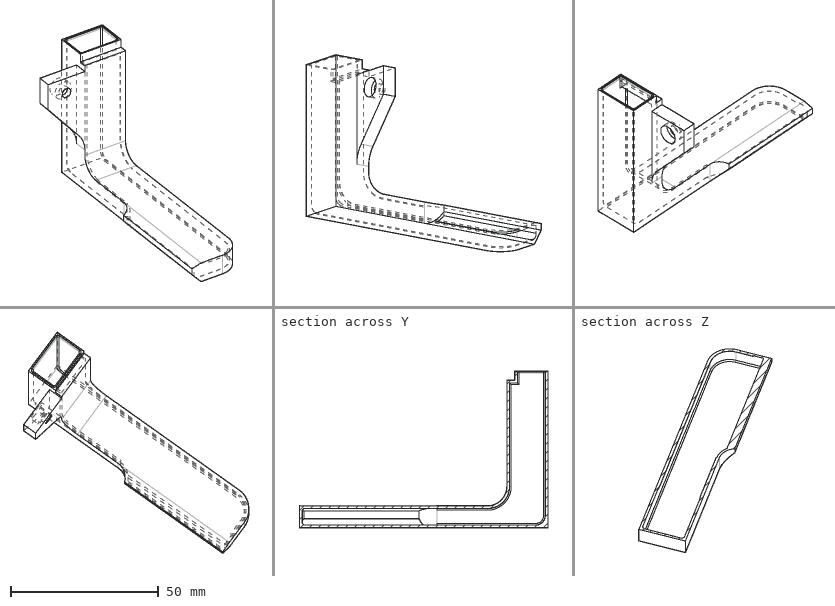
import cadquery as cq
import math

length = 84.0
height = 53.0
depth = 16.6
wall = 1.0

post_width = 13.95
neck_width = 11.25
neck_base = 49.9
arm_height = 7.5
inner_bend = 6.55
arm_corner = 8.0

lip_start = 37.55
lip_depth = 3.8
lip_bottom = 4.1
lip_top = 6.5
lip_blend = 5.7

outer_bend = 3.0
cavity_chamfer = 0.5
mouth_round = 0.3
rim_width = 0.5
rim_step = 0.25

tab_thickness = 5.0
tab_reach = 14.95
tab_top = 47.5
tab_edge_bottom = 37.5
tab_root = 19.8
tab_blend = 10.0
hole_height = 41.5
hole_diameter = 3.45
counterbore_diameter = 6.6
counterbore_depth = 3.0

cavity_front = wall
cavity_back = depth - wall
overrun = 1.7


def extrude_along_y(profile, y_from, y_to):
    """Extrude an XZ profile between two Y positions."""
    return profile.extrude(y_from - y_to).translate((0, y_from, 0))


def l_profile(inset, top):
    """Side outline of post, neck and arm, moved inward by the inset."""
    return (
        cq.Workplane("XZ")
        .moveTo(inset, inset)
        .lineTo(length - inset, inset)
        .lineTo(length - inset, arm_height - inset)
        .lineTo(post_width + inner_bend, arm_height - inset)
        .radiusArc((post_width - inset, arm_height + inner_bend), inner_bend + inset)
        .lineTo(post_width - inset, neck_base - inset)
        .lineTo(neck_width - inset, neck_base - inset)
        .lineTo(neck_width - inset, top)
        .lineTo(inset, top)
        .close()
    )


def lip_plan(inset):
    """Full-height block of the lip plan, concave at the post end, moved inward by the inset."""
    blend = lip_blend + inset
    front = inset - lip_depth
    drop = lip_blend + front
    end_x = lip_start + math.sqrt(blend**2 - drop**2)
    return (
        cq.Workplane("XY")
        .moveTo(lip_start, inset)
        .radiusArc((end_x, front), blend)
        .lineTo(length - inset, front)
        .lineTo(length - inset, inset + overrun)
        .lineTo(lip_start, inset + overrun)
        .close()
        .extrude(arm_height)
    )


def lip_section(inset):
    """Lip section: sloped top, upright front edge and sloped underside; top and floor inset."""
    return (
        cq.Workplane("YZ")
        .moveTo(depth / 2, inset)
        .lineTo(-inset * lip_depth / lip_bottom, inset)
        .lineTo(-lip_depth, lip_bottom)
        .lineTo(-lip_depth, lip_top - inset)
        .lineTo(0, arm_height - inset)
        .lineTo(depth / 2, arm_height - inset)
        .close()
        .extrude(length)
    )


def tab():
    """Mounting tab with a counterbored hole and a blended sloped edge."""
    slope = math.atan2(tab_reach, tab_edge_bottom - tab_root)
    tangent = tab_blend * math.tan(slope / 2)
    embed = wall / 2
    plate = (
        cq.Workplane("YZ", origin=(post_width - tab_thickness, 0, 0))
        .moveTo(embed, tab_top)
        .lineTo(-tab_reach, tab_top)
        .lineTo(-tab_reach, tab_edge_bottom)
        .lineTo(-tangent * math.sin(slope), tab_root + tangent * math.cos(slope))
        .radiusArc((0, tab_root - tangent), tab_blend)
        .lineTo(embed, tab_root - tangent)
        .close()
        .extrude(tab_thickness)
    )
    return (
        plate.faces("<X")
        .workplane(origin=(0, -tab_reach / 2, hole_height))
        .cboreHole(hole_diameter, counterbore_diameter, counterbore_depth)
    )


def cavity():
    """Hollow running down the post, along the arm and out under the lip."""
    tube = extrude_along_y(l_profile(wall, height + overrun), cavity_front, cavity_back)
    tube = tube.edges("|Y and <X and <Z").fillet(outer_bend)
    tube = tube.edges("|Z and >X and >Y").fillet(arm_corner - wall)
    tube = tube.faces("<Y or >Y").edges().chamfer(cavity_chamfer)
    pocket = lip_plan(wall).intersect(lip_section(wall))
    pocket = pocket.edges("|Z and >X and <Y").chamfer(cavity_chamfer)
    pocket = pocket.edges("|Y and >X and <Z").chamfer(cavity_chamfer)
    return tube.union(pocket)


def rim_recess():
    """Shallow recess with chamfered corners that leaves a thin rim around the mouth."""
    recess = cq.Workplane("XY", origin=(rim_width, rim_width, height - rim_step)).box(
        neck_width - 2 * rim_width, depth - 2 * rim_width, rim_step, centered=False
    )
    return recess.edges("|Z").chamfer(cavity_chamfer)


body = extrude_along_y(l_profile(0, height), 0, depth)
body = body.edges("|Z and >X and >Y").fillet(arm_corner)
body = body.union(lip_plan(0).intersect(lip_section(0)))
body = body.cut(cavity())
body = body.cut(rim_recess())
recess_floor = body.faces(cq.selectors.BoxSelector(
    (0, 0, height - 1.5 * rim_step), (neck_width, depth, height - rim_step / 2)
)).faces("|Z")
body = recess_floor.wires(cq.selectors.LengthNthSelector(0)).edges().fillet(mouth_round)

result = body.union(tab())